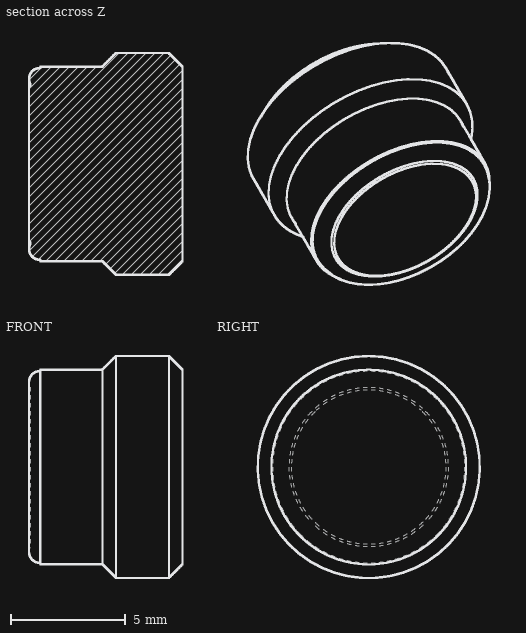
import math
import cadquery as cq

length = 6.7
head_radius = 4.85
shank_radius = 4.25
head_chamfer = head_radius - shank_radius
head_start = 3.2

face_radius = 3.37
cone_angle = math.radians(30)
cone_slope = math.tan(cone_angle)

bead_outer_radius = 4.19
bead_section_radius = 0.475
bead_center_radius = bead_outer_radius - bead_section_radius
bead_center_x = bead_section_radius
bead_inner_radius = bead_outer_radius - 2 * bead_section_radius * math.cos(cone_angle) ** 2

cone_end = bead_center_x + (shank_radius - bead_outer_radius) * cone_slope


def cone_point(radius):
    """Axial position and radius of a point on the front cone."""
    return (cone_end - (shank_radius - radius) * cone_slope, radius)


def bead_crest():
    """Point on the bead section facing straight out from the cone."""
    return (
        bead_center_x - bead_section_radius * math.cos(cone_angle),
        bead_center_radius + bead_section_radius * math.sin(cone_angle),
    )


def make_plug():
    """Revolve the half section, given as (x, radius), about the X axis."""
    face_point = cone_point(face_radius)
    profile = (
        cq.Workplane("XZ")
        .moveTo(face_point[0], 0)
        .lineTo(*face_point)
        .lineTo(*cone_point(bead_inner_radius))
        .threePointArc(bead_crest(), cone_point(bead_outer_radius))
        .lineTo(cone_end, shank_radius)
        .lineTo(head_start, shank_radius)
        .lineTo(head_start + head_chamfer, head_radius)
        .lineTo(length - head_chamfer, head_radius)
        .lineTo(length, shank_radius)
        .lineTo(length, 0)
        .close()
    )
    return profile.revolve(360, (0, 0, 0), (1, 0, 0))


result = make_plug()